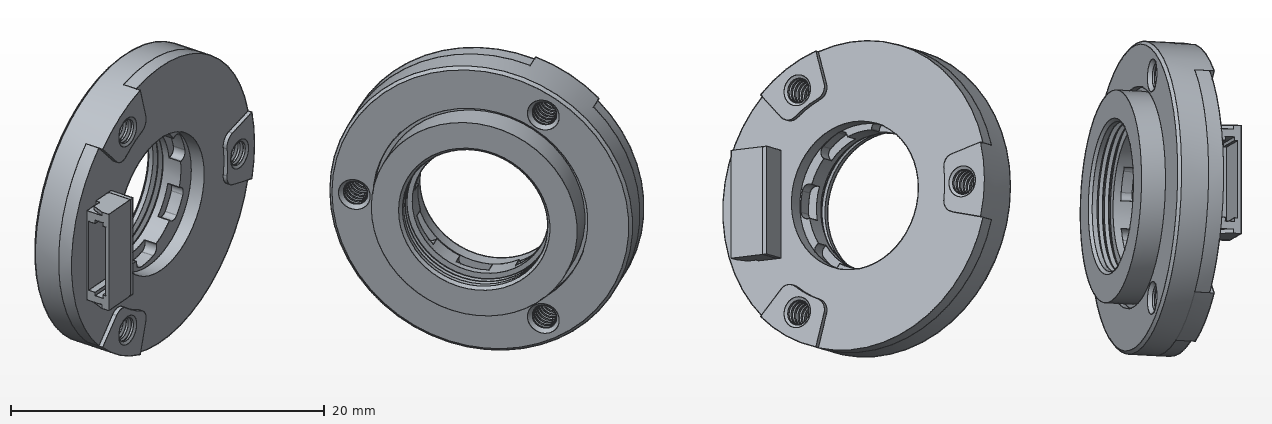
import cadquery as cq
import math

flange_diameter = 20.0
boss_diameter = 13.6
groove_diameter = 14.2
groove_depth = 0.4
boss_length = 1.5
flange_thickness = 2.0
flange_chamfer = 0.2
board_face = boss_length + flange_thickness
cavity_diameter = 12.8
cavity_start = 1.5

tab_count = 3
tab_angle = 28.0
tab_inner_radius = 7.0
tab_corner_radius = 0.8
tab_length = 1.3

thread_pitch = 0.4
bore_minor_diameter = 9.6
bore_major_diameter = 10.2
bore_lead_diameter = 10.0
screw_minor_diameter = 1.6
screw_major_diameter = 2.0
screw_lead_diameter = 2.1
screw_circle_radius = 8.32

ring_bore_diameter = 9.0
ring_length = 1.4
ring_floor = 0.5
notch_count = 7
notch_angle = 28.0
notch_phase = -30.0
notch_outer_radius = 5.1
notch_corner_radius = 0.5
notch_overcut = 0.4

board_thickness = 1.0
board_bore_diameter = 9.6
board_back = board_face + board_thickness

connector_height = 1.7
connector_width = 7.0
connector_front = -8.28
connector_depth = 2.4
latch_depth = 0.3
slot_low = 0.15
slot_thickness = 1.3
slot_width = 5.0
key_low = 0.65
key_thickness = 0.6
key_width = 5.48
end_notch_depth = 0.25
end_notch_base_height = 0.3
end_notch_base_depth = 1.0
end_notch_top_height = 1.15
end_notch_slope_start = 0.35


def polar(radius, angle):
    """Point at the given radius and angle in degrees, measured from +Y towards +Z."""
    return radius * math.cos(math.radians(angle)), radius * math.sin(math.radians(angle))


def disc(diameter, start, length):
    """Cylinder along X."""
    return cq.Workplane("YZ", origin=(start, 0, 0)).circle(diameter / 2).extrude(length)


def sector(inner_radius, outer_radius, angle, start, length):
    """Ring segment centred on +Y, with radial sides."""
    half = angle / 2
    return (
        cq.Workplane("YZ", origin=(start, 0, 0))
        .moveTo(*polar(inner_radius, -half))
        .lineTo(*polar(outer_radius, -half))
        .threePointArc((outer_radius, 0), polar(outer_radius, half))
        .lineTo(*polar(inner_radius, half))
        .threePointArc((inner_radius, 0), polar(inner_radius, -half))
        .close()
        .extrude(length)
    )


def turned(shape, angle):
    """Shape turned about the X axis."""
    return shape.rotate((0, 0, 0), (1, 0, 0), angle)


def threaded_hole(minor_diameter, major_diameter, lead_diameter, length):
    """Cutter for a hole along X from x = 0, with V-shaped thread grooves and a lead-in chamfer."""
    minor = minor_diameter / 2
    major = major_diameter / 2
    lead = lead_diameter / 2
    chamfer_end = lead - minor
    groove_half = (major - minor) / math.sqrt(3)
    groove_count = math.floor((length - chamfer_end - groove_half) / thread_pitch) + 1
    points = [(0, 0), (0, lead), (chamfer_end, minor)]
    for i in reversed(range(groove_count)):
        middle = length - i * thread_pitch
        points += [(middle - groove_half, minor), (middle, major)]
        if i > 0:
            points.append((middle + groove_half, minor))
    points.append((length, 0))
    return cq.Workplane("XY").polyline(points).close().revolve(360, (0, 0, 0), (1, 0, 0))


def make_tabs():
    """Tabs that rise from the flange through the edge of the board."""
    tab = sector(tab_inner_radius, flange_diameter / 2, tab_angle, board_face, tab_length)
    tab = tab.edges("|X").edges("<Y").fillet(tab_corner_radius)
    return [turned(tab, i * 360 / tab_count) for i in range(tab_count)]


def make_housing(tabs):
    body = disc(flange_diameter, boss_length, flange_thickness).faces("<X").chamfer(flange_chamfer)
    groove = disc(groove_diameter, boss_length, groove_depth)
    body = body.cut(groove).union(disc(boss_diameter, 0, board_face))
    for tab in tabs:
        body = body.union(tab)
    body = body.cut(disc(cavity_diameter, cavity_start, board_face - cavity_start))
    bore = threaded_hole(bore_minor_diameter, bore_major_diameter, bore_lead_diameter, cavity_start)
    body = body.cut(bore)
    screw_hole = threaded_hole(
        screw_minor_diameter, screw_major_diameter, screw_lead_diameter, flange_thickness + tab_length
    ).translate((boss_length, screw_circle_radius, 0))
    for i in range(tab_count):
        body = body.cut(turned(screw_hole, i * 360 / tab_count))
    return body


def make_ring():
    """Ring seated in the housing cavity, with notches open towards the board."""
    ring = disc(cavity_diameter, cavity_start, ring_length)
    ring = ring.cut(disc(ring_bore_diameter, cavity_start, ring_length))
    notch_inner_radius = ring_bore_diameter / 2 - notch_overcut
    notch_start = cavity_start + ring_floor
    notch = sector(notch_inner_radius, notch_outer_radius, notch_angle, notch_start, ring_length)
    notch = notch.edges("|X").edges(">Y").fillet(notch_corner_radius)
    for i in range(notch_count):
        ring = ring.cut(turned(notch, notch_phase + i * 360 / notch_count))
    return ring


def make_board(tabs):
    board = disc(flange_diameter, board_face, board_thickness)
    board = board.cut(disc(board_bore_diameter, board_face, board_thickness))
    for tab in tabs:
        board = board.cut(tab)
    return board


def block(x_low, y_low, size_x, size_y, size_z):
    """Box centred on z = 0."""
    box = cq.Workplane("XY").box(size_x, size_y, size_z, centered=(False, False, True))
    return box.translate((x_low, y_low, 0))


def make_connector():
    body = block(board_back, connector_front, connector_height, connector_depth, connector_width)
    slot = block(board_back + slot_low, connector_front, slot_thickness, connector_depth, slot_width)
    key = block(board_back + key_low, connector_front, key_thickness, connector_depth, key_width)
    body = body.cut(slot).cut(key)
    end_notch = (
        cq.Workplane("XY", origin=(board_back, connector_front, connector_width / 2 - end_notch_depth))
        .polyline([
            (0, 0),
            (end_notch_top_height, 0),
            (end_notch_base_height, end_notch_slope_start),
            (end_notch_base_height, end_notch_base_depth),
            (0, end_notch_base_depth),
        ])
        .close()
        .extrude(end_notch_depth)
    )
    return body.cut(end_notch).cut(end_notch.mirror("XY"))


def make_latch():
    """Bar that closes the back of the connector."""
    latch_front = connector_front + connector_depth
    return block(board_back, latch_front, connector_height, latch_depth, connector_width)


tabs = make_tabs()
housing = make_housing(tabs)
ring = make_ring()
board = make_board(tabs)
connector = make_connector()
latch = make_latch()

result = cq.Compound.makeCompound([
    housing.val(),
    ring.val(),
    board.val(),
    connector.val(),
    latch.val(),
])